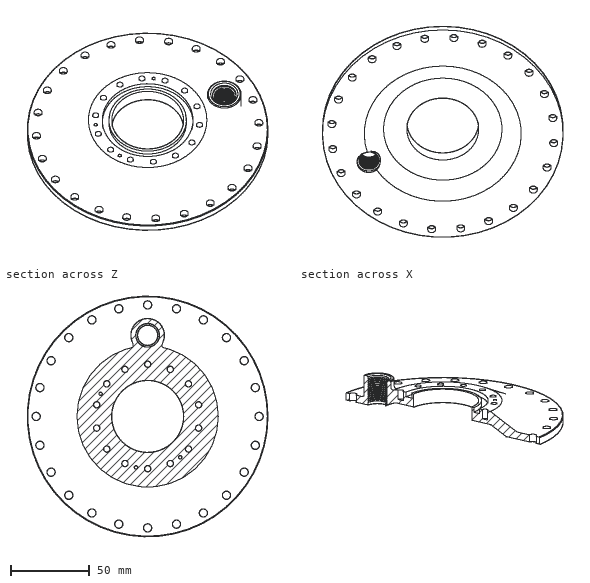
import cadquery as cq
import math

flange_diameter = 152.4
flange_thickness = 5.0
flange_chamfer = 0.5
bolt_count = 24
bolt_circle_radius = 70.5
bolt_hole_diameter = 5.0

dome_base_radius = 58.2
dome_top_radius = 37.5
dome_top_z = 14.6
hub_thickness = 9.0
blend_radius = 1.5

bore_diameter = 45.4
lip_diameter = 49.0
groove_diameter = 57.5
groove_depth = 3.0

hub_circle_radius = 33.0
screw_count = 14
screw_hole_diameter = 3.8
screw_hole_depth = 6.1
pin_hole_diameter = 2.0
pin_hole_depth = 4.5
pin_pitch_steps = (2.5, 6.5, 8.5)

port_y = 51.4
port_diameter = 21.3
port_top_z = 19.7
port_edge_chamfer = 0.6
port_mouth_diameter = 17.2
port_mouth_depth = 0.8
thread_minor_diameter = 12.6
thread_major_diameter = 14.8
thread_pitch = 1.4
thread_crest_width = 0.2
thread_root_width = 0.5
thread_lead_in = 1.0
thread_ridge_count = 12

recess_top_z = dome_top_z - hub_thickness
dome_slope = (dome_top_z - flange_thickness) / (dome_base_radius - dome_top_radius)
recess_base_radius = dome_top_radius + recess_top_z / dome_slope


def polar_point(radius, degrees):
    angle = math.radians(degrees)
    return (radius * math.cos(angle), radius * math.sin(angle))


def blind_holes(points, diameter, depth):
    return (
        cq.Workplane("XY")
        .workplane(offset=dome_top_z - depth)
        .pushPoints(points)
        .circle(diameter / 2)
        .extrude(depth)
    )


def make_dome():
    flange_radius = flange_diameter / 2
    return (
        cq.Workplane("XZ")
        .moveTo(0, 0)
        .lineTo(flange_radius, 0)
        .lineTo(flange_radius, flange_thickness - flange_chamfer)
        .lineTo(flange_radius - flange_chamfer, flange_thickness)
        .lineTo(dome_base_radius, flange_thickness)
        .lineTo(dome_top_radius, dome_top_z)
        .lineTo(0, dome_top_z)
        .close()
        .revolve(360, (0, 0, 0), (0, 1, 0))
    )


def make_port():
    return (
        cq.Workplane("XY")
        .center(0, port_y)
        .circle(port_diameter / 2)
        .extrude(port_top_z)
    )


def make_blended_body():
    """Dome and port joined, with a fillet along the foot of each."""
    body = make_dome().union(make_port())
    reach = port_diameter / 2 + blend_radius / 2
    port_zone = cq.selectors.BoxSelector(
        (-reach, port_y - reach, flange_thickness - flange_chamfer / 2),
        (reach, port_y + reach, dome_top_z),
        boundingbox=True,
    )
    port_foot = body.edges(port_zone).edges("not |Z").vals()
    dome_foot = [
        edge
        for edge in body.edges("%CIRCLE").vals()
        if math.isclose(edge.radius(), dome_base_radius, abs_tol=0.002)
    ]
    return body.newObject(port_foot + dome_foot).fillet(blend_radius)


def make_recess():
    return (
        cq.Workplane("XZ")
        .polyline([
            (0, 0),
            (recess_base_radius, 0),
            (dome_top_radius, recess_top_z),
            (0, recess_top_z),
        ])
        .close()
        .revolve(360, (0, 0, 0), (0, 1, 0))
    )


def make_central_opening():
    bore = cq.Workplane("XY").circle(bore_diameter / 2).extrude(dome_top_z)
    groove = (
        cq.Workplane("XY")
        .workplane(offset=dome_top_z - groove_depth)
        .circle(groove_diameter / 2)
        .circle(lip_diameter / 2)
        .extrude(groove_depth)
    )
    return bore.union(groove)


def make_bolt_holes():
    return (
        cq.Workplane("XY")
        .polarArray(bolt_circle_radius, 0, 360, bolt_count)
        .circle(bolt_hole_diameter / 2)
        .extrude(flange_thickness)
    )


def make_hub_holes():
    pitch = 360 / screw_count
    screws = [polar_point(hub_circle_radius, 90 + pitch * step) for step in range(screw_count)]
    pins = [polar_point(hub_circle_radius, 90 + pitch * step) for step in pin_pitch_steps]
    screw_holes = blind_holes(screws, screw_hole_diameter, screw_hole_depth)
    return screw_holes.union(blind_holes(pins, pin_hole_diameter, pin_hole_depth))


def make_port_bore():
    """Through bore with a chamfered mouth and thread ridges standing in from the major diameter."""
    minor = thread_minor_diameter / 2
    major = thread_major_diameter / 2
    mouth = port_mouth_diameter / 2
    first_ridge_z = port_top_z - port_mouth_depth - thread_lead_in
    flank_height = (thread_pitch - thread_crest_width - thread_root_width) / 2
    profile = (
        cq.Workplane("XZ")
        .moveTo(0, port_top_z)
        .lineTo(mouth, port_top_z)
        .lineTo(major, port_top_z - port_mouth_depth)
    )
    for ridge in range(thread_ridge_count):
        ridge_z = first_ridge_z - ridge * thread_pitch
        crest_z = ridge_z - flank_height
        profile = (
            profile.lineTo(major, ridge_z)
            .lineTo(minor, crest_z)
            .lineTo(minor, crest_z - thread_crest_width)
            .lineTo(major, crest_z - thread_crest_width - flank_height)
        )
    bore = profile.lineTo(major, 0).lineTo(0, 0).close().revolve(360, (0, 0, 0), (0, 1, 0))
    return bore.translate((0, port_y, 0))


body = make_blended_body().faces(">Z").edges().chamfer(port_edge_chamfer)
result = (
    body.cut(make_recess())
    .cut(make_central_opening())
    .cut(make_bolt_holes())
    .cut(make_hub_holes())
    .cut(make_port_bore())
)